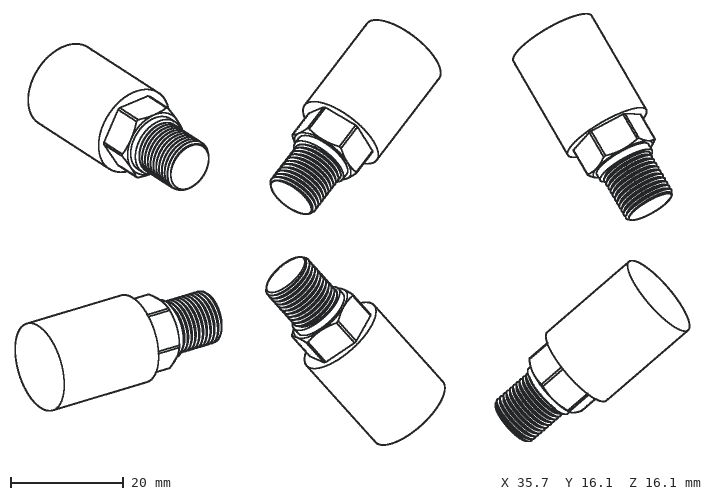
import cadquery as cq
import math

total_length = 35.65
body_diameter = 16.07
body_length = 19.9

hex_across_flats = 12.0
hex_corner_diameter = 13.6
hex_end_x = 25.55
hex_chamfer_angle = 30.0

collar_diameter = 10.62
collar_end_x = 26.87

thread_diameter = 9.55
crest_count = 10
crest_run = 7.95
thread_pitch = crest_run / crest_count
thread_depth = 0.43
crest_width = 0.1
root_width = 0.1
tip_chamfer = 0.45
crest_x_at_top = 27.12
ridge_embed = 0.07
trim_clearance = 0.35

crest_radius = thread_diameter / 2
root_radius = crest_radius - thread_depth


def cylinder_along_x(start_x, end_x, diameter):
    return (
        cq.Workplane("YZ", origin=(start_x, 0, 0))
        .circle(diameter / 2)
        .extrude(end_x - start_x)
    )


def make_hexagon():
    """Hexagon with turned corners and a conical chamfer at its far end."""
    length = hex_end_x - body_length
    corner_to_corner = hex_across_flats / math.cos(math.radians(30))
    prism = (
        cq.Workplane("YZ", origin=(body_length, 0, 0))
        .polygon(6, corner_to_corner)
        .extrude(length)
    )
    chamfer_height = (hex_corner_diameter - hex_across_flats) / 2
    chamfer_length = chamfer_height * math.tan(math.radians(hex_chamfer_angle))
    turned_blank = (
        cq.Workplane("XY")
        .moveTo(body_length, 0)
        .lineTo(body_length, hex_corner_diameter / 2)
        .lineTo(hex_end_x - chamfer_length, hex_corner_diameter / 2)
        .lineTo(hex_end_x, hex_across_flats / 2)
        .lineTo(hex_end_x, 0)
        .close()
        .revolve(360, (0, 0, 0), (1, 0, 0))
    )
    return prism.intersect(turned_blank)


def make_thread_ridge(start_x, turns):
    """Helical ridge, built along Z from z = 0 and then laid onto the X axis."""
    crest_half = crest_width / 2
    flank_run = (thread_pitch - crest_width - root_width) / 2
    base_radius = root_radius - ridge_embed
    base_half = crest_half + flank_run * (thread_depth + ridge_embed) / thread_depth

    helix = cq.Wire.makeHelix(thread_pitch, turns * thread_pitch, root_radius)
    ridge = (
        cq.Workplane("XZ")
        .moveTo(base_radius, -base_half)
        .lineTo(crest_radius, -crest_half)
        .lineTo(crest_radius, crest_half)
        .lineTo(base_radius, base_half)
        .close()
        .sweep(cq.Workplane(obj=helix), isFrenet=True)
    )
    return (
        ridge.rotate((0, 0, 0), (0, 1, 0), 90)
        .rotate((0, 0, 0), (1, 0, 0), 180)
        .translate((start_x, 0, 0))
    )


def make_threaded_end():
    """Thread with both ridge ends trimmed off, one inside the collar and one past the tip."""
    ridge_start_x = crest_x_at_top - thread_pitch
    turns = math.ceil((total_length - ridge_start_x) / thread_pitch)
    ridge_end_x = ridge_start_x + turns * thread_pitch
    core = cylinder_along_x(
        ridge_start_x - 2 * thread_pitch, ridge_end_x + 2 * thread_pitch, 2 * root_radius
    )
    trim_start_x = (hex_end_x + collar_end_x) / 2
    trimming_blank = (
        cq.Workplane("XY")
        .moveTo(trim_start_x, 0)
        .lineTo(trim_start_x, crest_radius + trim_clearance)
        .lineTo(total_length - tip_chamfer - trim_clearance, crest_radius + trim_clearance)
        .lineTo(total_length, crest_radius - tip_chamfer)
        .lineTo(total_length, 0)
        .close()
        .revolve(360, (0, 0, 0), (1, 0, 0))
    )
    threaded_core = core.union(make_thread_ridge(ridge_start_x, turns))
    return threaded_core.intersect(trimming_blank)


body = cylinder_along_x(0, body_length, body_diameter)
collar = cylinder_along_x(hex_end_x, collar_end_x, collar_diameter)

result = body.union(make_hexagon()).union(collar).union(make_threaded_end())